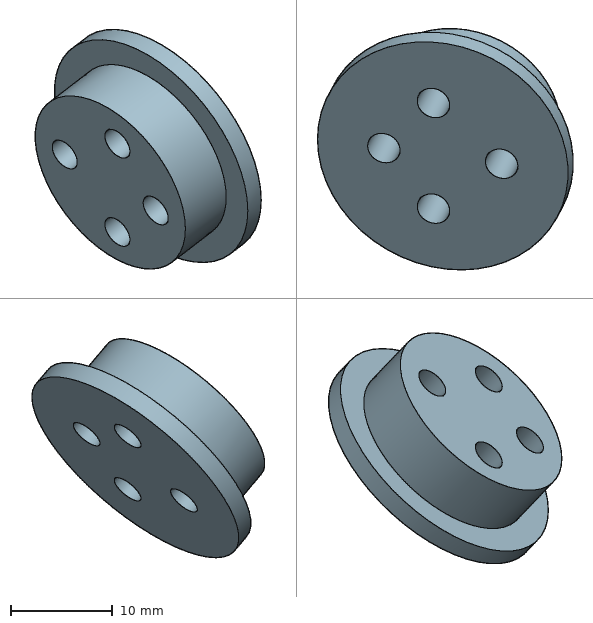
import cadquery as cq

flange_diameter = 25.5
boss_diameter = 19.81
total_depth = 8.0
flange_thickness = 2.0
boss_length = total_depth - flange_thickness

hole_diameter = 3.3
side_hole_x = 6.0
offset_hole_x = 0.95
upper_hole_z = 5.85
lower_hole_z = -6.1
hole_centres = [
    (-side_hole_x, 0),
    (side_hole_x, 0),
    (offset_hole_x, upper_hole_z),
    (offset_hole_x, lower_hole_z),
]


def cylinder_toward_front(diameter, length, centres):
    """Cylinders from the flange back face (Y = 0) toward -Y, at (x, z) centres."""
    return cq.Workplane("XZ").pushPoints(centres).circle(diameter / 2).extrude(length)


axis_centre = [(0, 0)]
flange = cylinder_toward_front(flange_diameter, flange_thickness, axis_centre)
boss = flange.faces("<Y").workplane().circle(boss_diameter / 2).extrude(boss_length)
holes = cylinder_toward_front(hole_diameter, total_depth, hole_centres)

result = boss.cut(holes)